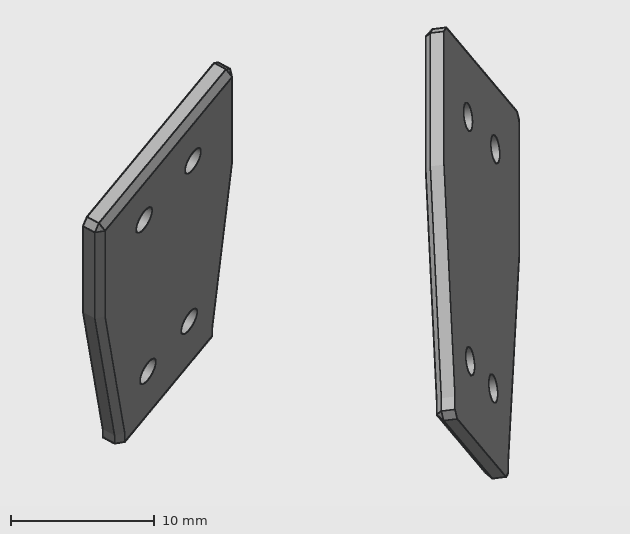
import cadquery as cq

thickness = 1.5
width = 17.0
height = 28.5

foot_width = 12.03
shoulder_drop = 10.55
foot_height = 1.48

bevel = 0.5

hole_diameter = 2.0
upper_hole_spacing = 6.13
upper_hole_drop = 4.8
lower_hole_spacing = 5.2
lower_hole_rise = 5.5

top = height / 2
bottom = -height / 2


def plate():
    """Symmetric plate that narrows to a foot, with its rim and four corners beveled together."""
    right_side = [
        (foot_width / 2, bottom),
        (foot_width / 2, bottom + foot_height),
        (width / 2, top - shoulder_drop),
        (width / 2, top),
    ]
    left_side = [(-y, z) for y, z in reversed(right_side)]
    body = cq.Workplane("YZ").polyline(right_side + left_side).close().extrude(thickness)
    corner_edges = body.faces("<Z or >Z").edges("|X")
    rim_edges = body.faces(">X").edges()
    return rim_edges.add(corner_edges).chamfer(bevel)


def hole_pair(spacing, z):
    """Cutters for two holes placed evenly about the middle of the width."""
    centers = [(-spacing / 2, z), (spacing / 2, z)]
    return cq.Workplane("YZ").pushPoints(centers).circle(hole_diameter / 2).extrude(thickness)


result = (
    plate()
    .cut(hole_pair(upper_hole_spacing, top - upper_hole_drop))
    .cut(hole_pair(lower_hole_spacing, bottom + lower_hole_rise))
)